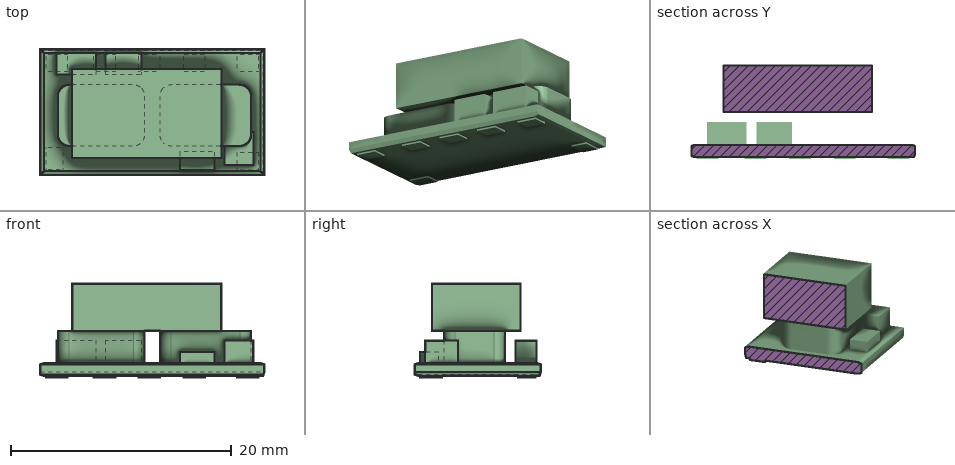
import cadquery as cq


TOTAL_HEIGHT = 8.51

BOARD_LENGTH = 20.32
BOARD_WIDTH = 11.43
BOARD_THICKNESS = 1.17
BEVEL_INSET = 0.38
BEVEL_HEIGHT = 0.13

PAD_THICKNESS = 0.15
PAD_LONG = 1.96
PAD_SHORT = 1.57
PAD_EDGE_Y = 5.23
PAD_END_CENTER_X = 8.65
BACK_PAD_CENTERS_X = (-PAD_END_CENTER_X, -4.32, -0.27, 3.79, PAD_END_CENTER_X)
CORNER_PAD_EDGE_X = -PAD_END_CENTER_X - PAD_LONG / 2
CORNER_PAD_EDGE_Y = -5.18

CAP_HEIGHT = 2.92
CAP_CORNER_RADIUS = 1.02
CAP_FRONT_Y = -3.06
CAP_BACK_Y = 2.48
CAP_HALF_GAP = 0.69
CAP_LEFT_X = -8.55
CAP_RIGHT_X = 8.95

BLOCK_LEFT_X = -7.25
BLOCK_RIGHT_X = 6.25
BLOCK_FRONT_Y = -4.16
BLOCK_BACK_Y = 3.89

CHIP_HEIGHT = 2.03
LOW_CHIP_HEIGHT = CHIP_HEIGHT / 2
BACK_CHIP_FRONT_Y = 3.40
BACK_CHIP_BACK_Y = BOARD_WIDTH / 2 - BEVEL_INSET
BACK_CHIP_SPANS_X = ((-8.68, -5.10), (-4.22, -0.98))
RIGHT_CHIP_SPAN_X = (6.52, 9.16)
RIGHT_CHIP_SPAN_Y = (-4.77, -1.79)
LOW_CHIP_SPAN_X = (2.53, 5.64)
LOW_CHIP_SPAN_Y = (-5.24, -3.55)

BOARD_BOTTOM = PAD_THICKNESS
BOARD_TOP = BOARD_BOTTOM + BOARD_THICKNESS
CAP_TOP = BOARD_TOP + CAP_HEIGHT
BLOCK_HEIGHT = TOTAL_HEIGHT - CAP_TOP


def box_between(span_x, span_y, bottom, height):
    """Box filling the given X and Y spans, standing on the bottom level."""
    length = span_x[1] - span_x[0]
    width = span_y[1] - span_y[0]
    box = cq.Workplane("XY").box(length, width, height, centered=False)
    return box.translate((span_x[0], span_y[0], bottom))


def make_board():
    """Rectangular board with shallow bevels around both faces."""
    half_length = BOARD_LENGTH / 2
    half_width = BOARD_WIDTH / 2
    board = box_between(
        (-half_length, half_length), (-half_width, half_width), BOARD_BOTTOM, BOARD_THICKNESS
    )
    for face in (">Z", "<Z"):
        board = board.faces(face).chamfer(BEVEL_HEIGHT, BEVEL_INSET)
    return board


def make_pads():
    """Five pads along the back edge and one at each front corner."""
    pads = []
    back_span_y = (PAD_EDGE_Y - PAD_SHORT, PAD_EDGE_Y)
    for center_x in BACK_PAD_CENTERS_X:
        span_x = (center_x - PAD_LONG / 2, center_x + PAD_LONG / 2)
        pads.append(box_between(span_x, back_span_y, 0, PAD_THICKNESS))

    left_span_x = (CORNER_PAD_EDGE_X, CORNER_PAD_EDGE_X + PAD_SHORT)
    left_span_y = (CORNER_PAD_EDGE_Y, CORNER_PAD_EDGE_Y + PAD_LONG)
    pads.append(box_between(left_span_x, left_span_y, 0, PAD_THICKNESS))

    right_span_x = (PAD_END_CENTER_X - PAD_LONG / 2, PAD_END_CENTER_X + PAD_LONG / 2)
    right_span_y = (-PAD_EDGE_Y, -PAD_EDGE_Y + PAD_SHORT)
    pads.append(box_between(right_span_x, right_span_y, 0, PAD_THICKNESS))
    return pads


def make_capacitors():
    """Two blocks with rounded vertical corners."""
    capacitors = []
    for span_x in ((CAP_LEFT_X, -CAP_HALF_GAP), (CAP_HALF_GAP, CAP_RIGHT_X)):
        body = box_between(span_x, (CAP_FRONT_Y, CAP_BACK_Y), BOARD_TOP, CAP_HEIGHT)
        capacitors.append(body.edges("|Z").fillet(CAP_CORNER_RADIUS))
    return capacitors


def make_inductor():
    """Large block bridging the two capacitors."""
    span_x = (BLOCK_LEFT_X, BLOCK_RIGHT_X)
    span_y = (BLOCK_FRONT_Y, BLOCK_BACK_Y)
    return box_between(span_x, span_y, CAP_TOP, BLOCK_HEIGHT)


def make_chips():
    """Two chips at the back edge, one at the right end and a low one in front."""
    chips = []
    back_span_y = (BACK_CHIP_FRONT_Y, BACK_CHIP_BACK_Y)
    for span_x in BACK_CHIP_SPANS_X:
        chips.append(box_between(span_x, back_span_y, BOARD_TOP, CHIP_HEIGHT))
    chips.append(box_between(RIGHT_CHIP_SPAN_X, RIGHT_CHIP_SPAN_Y, BOARD_TOP, CHIP_HEIGHT))
    chips.append(box_between(LOW_CHIP_SPAN_X, LOW_CHIP_SPAN_Y, BOARD_TOP, LOW_CHIP_HEIGHT))
    return chips


result = make_board()
for component in make_pads() + make_capacitors() + [make_inductor()] + make_chips():
    result = result.union(component)